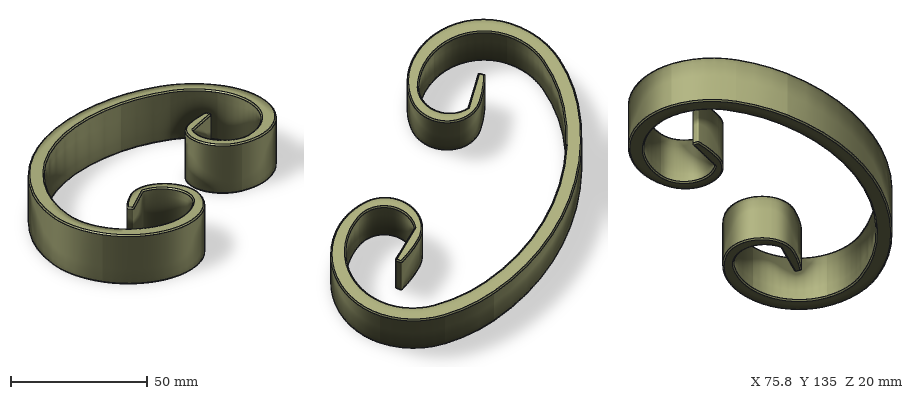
import cadquery as cq
import math

LENGTH = 135.0
WIDTH = 75.8
HEIGHT = 20.0
EDGE_CHAMFER = 0.5

START_HEADING = 90.0
CROWN_HEADING = 0.0
SIDE_HEADING = -90.0

OUTER_SPINE = [(85.6, 59.4), (62.1, 40.3)]
OUTER_CURL = [(25.0, -130.3), (14.0, -220.7), (12.2, -275.4), (45.5, -290.3)]

SPINE_THICKNESS = 5.8
INNER_ARCS = [(78.9, 59.2), (58.5, 38.7), (25.9, 0.0), (23.8, -70.8), (24.9, -106.1), (11.3, -237.0)]

FLANK_LENGTH = 15.7
FLANK_HEADING = 83.5
TIP_RADIUS = 0.7
FLANK_CORNER_RADIUS = 0.7


def unit(heading):
    angle = math.radians(heading)
    return cq.Vector(math.cos(angle), math.sin(angle))


def arc_point(start, start_heading, radius, heading):
    """Point where a clockwise arc from `start` has turned to `heading`."""
    centre = start + unit(start_heading - 90) * radius
    return centre + unit(heading + 90) * radius


def arc_chain(start, start_heading, arcs):
    """Edges of tangent clockwise arcs, and the point where they end."""
    edges = []
    for radius, heading in arcs:
        middle = arc_point(start, start_heading, radius, (start_heading + heading) / 2)
        end = arc_point(start, start_heading, radius, heading)
        edges.append(cq.Edge.makeThreePointArc(start, middle, end))
        start = end
        start_heading = heading
    return edges, end


def outer_face():
    """The crown and side radii follow from the overall length and width."""
    spine, spine_end = arc_chain(cq.Vector(0, 0), START_HEADING, OUTER_SPINE)
    spine_heading = OUTER_SPINE[-1][1]
    crown_rise = LENGTH / 2 - spine_end.y
    crown_radius = crown_rise / (1 - math.cos(math.radians(spine_heading)))
    crown, crown_end = arc_chain(spine_end, spine_heading, [(crown_radius, CROWN_HEADING)])
    side_radius = WIDTH - crown_end.x
    side_and_curl = [(side_radius, SIDE_HEADING)] + OUTER_CURL
    curl, outer_end = arc_chain(crown_end, CROWN_HEADING, side_and_curl)
    return spine + crown + curl, outer_end


def round_corner(bar, corner, radius):
    """Fillet the upright edge at a corner of the outline."""
    middle = (corner.x, corner.y, HEIGHT / 2)
    return bar.edges(cq.NearestToPointSelector(middle)).fillet(radius)


def half_bar():
    """The +Y half of the bar, with the corners of its free end rounded."""
    outer, outer_end = outer_face()
    inner_start = cq.Vector(SPINE_THICKNESS, 0)
    inner, flank_start = arc_chain(inner_start, START_HEADING, INNER_ARCS)
    flank_end = flank_start + unit(FLANK_HEADING) * FLANK_LENGTH
    start_edge = cq.Edge.makeLine(cq.Vector(0, 0), inner_start)
    flank = cq.Edge.makeLine(flank_start, flank_end)
    tip = cq.Edge.makeLine(flank_end, outer_end)
    outline = cq.Wire.assembleEdges([start_edge] + inner + [flank, tip] + outer[::-1])
    bar = cq.Workplane(cq.Solid.extrudeLinear(outline, [], cq.Vector(0, 0, HEIGHT)))
    bar = round_corner(bar, flank_start, FLANK_CORNER_RADIUS)
    bar = round_corner(bar, outer_end, TIP_RADIUS)
    return round_corner(bar, flank_end, TIP_RADIUS)


upper_half = half_bar()
bar = upper_half.union(upper_half.mirror("XZ"))
result = bar.faces("<Z or >Z").edges().chamfer(EDGE_CHAMFER)